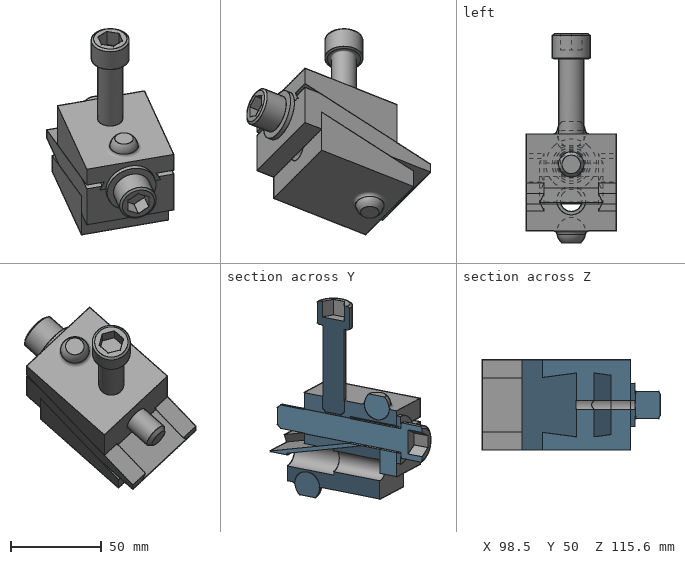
import cadquery as cq
import math

slope_angle = math.radians(15)
slope = math.tan(slope_angle)
width = 50.0

base_length = 82.0
base_height = 25.0
nose_height = 5.7

dovetail_opening = 30.0
dovetail_floor = 34.9
dovetail_depth = 4.9

jaw_length = 60.0
jaw_height = 30.0
upper_jaw_x = 22.0
upper_jaw_top = 38.6
lower_jaw_x = 11.1
lower_jaw_bottom = -15.0
jaw_thick_edge = upper_jaw_top - nose_height - upper_jaw_x * slope

bore_depth_below_face = 16.9
tapped_diameter = 12.0
clearance_diameter = 16.0
clearance_length = jaw_length / 2

ball_diameter = 16.0
ball_from_thin_end = 13.0
ball_center_rise = 0.6
ball_flat_rise = 6.7
lip_diameter = 20.0

shank_diameter = 14.0
neck_diameter = 15.0
neck_fillet = (neck_diameter - shank_diameter) / 2
head_diameter = 21.0
head_height = 14.0
head_face_diameter = 18.4
head_top_chamfer = 0.9
head_bottom_chamfer = 0.6
tip_diameter = 10.2
tip_chamfer = 2.2
socket_flats = 12.0
socket_depth = 9.0
upright_screw_length = 50.0
upright_screw_exposed = 41.3
upright_screw_from_thick_end = 19.0
draw_screw_length = 80.0

washer_diameter = 28.0
washer_thickness = 2.5
washer_bore = neck_diameter

base_bore_diameter = washer_bore

draw_screw_z = upper_jaw_top - bore_depth_below_face
upright_screw_x = upper_jaw_x + upright_screw_from_thick_end


def dovetail_bar(start_height):
    """Dovetail prism along the slope that passes through (0, 0, start_height)."""
    half_length = base_length / math.cos(slope_angle) + dovetail_depth
    along_slope = cq.Plane(
        origin=(0, 0, start_height),
        xDir=(0, 1, 0),
        normal=(math.cos(slope_angle), 0, math.sin(slope_angle)),
    )
    return (
        cq.Workplane(along_slope)
        .moveTo(-dovetail_opening / 2, 0)
        .lineTo(dovetail_opening / 2, 0)
        .lineTo(dovetail_floor / 2, -dovetail_depth)
        .lineTo(-dovetail_floor / 2, -dovetail_depth)
        .close()
        .extrude(half_length, both=True)
    )


def cylinder_along_x(diameter, x_start, length, z):
    """Cylinder that starts at x_start, with its axis at height z."""
    return cq.Workplane("YZ", origin=(x_start, 0, z)).circle(diameter / 2).extrude(length)


def jaw_blank():
    """Jaw with its dovetail tongue, before any holes; the tongue ends level with the block."""
    block = cq.Workplane("XY").box(jaw_length, width, jaw_height, centered=(False, True, False))
    block = block.translate((0, 0, -jaw_height))
    wedge = (
        cq.Workplane("XZ")
        .polyline([
            (0, 0),
            (jaw_length, 0),
            (jaw_length, jaw_length * slope - jaw_thick_edge),
            (0, -jaw_thick_edge),
        ])
        .close()
        .extrude(width / 2, both=True)
    )
    tongue = dovetail_bar(-jaw_thick_edge).intersect(block)
    return wedge.union(tongue)


def ball_lip():
    """Raised lip whose concave flank is tangent to the jaw face and to the ball."""
    ball_radius = ball_diameter / 2
    lip_radius = lip_diameter / 2
    flank_radius = (lip_radius**2 + ball_center_rise**2 - ball_radius**2) / (
        2 * (ball_radius + ball_center_rise)
    )
    contact_share = ball_radius / (ball_radius + flank_radius)
    contact_radius = lip_radius * contact_share
    contact_rise = ball_center_rise + (flank_radius - ball_center_rise) * contact_share
    contact_angle = math.atan2(contact_rise - flank_radius, contact_radius - lip_radius) % (2 * math.pi)
    middle_angle = (contact_angle + 1.5 * math.pi) / 2
    flank_middle = (
        lip_radius + flank_radius * math.cos(middle_angle),
        flank_radius + flank_radius * math.sin(middle_angle),
    )
    return (
        cq.Workplane("XZ")
        .moveTo(0, 0)
        .lineTo(lip_radius, 0)
        .threePointArc(flank_middle, (contact_radius, contact_rise))
        .lineTo(0, contact_rise)
        .close()
        .revolve(360, (0, 0, 0), (0, 1, 0))
        .translate((jaw_length - ball_from_thin_end, 0, 0))
    )


def swivel_ball():
    """Ball with a flat face, seated in the jaw-local frame."""
    ball = cq.Workplane("XY").sphere(ball_diameter / 2).translate((0, 0, ball_center_rise))
    beyond_flat = (
        cq.Workplane("XY", origin=(0, 0, ball_flat_rise))
        .circle(ball_diameter / 2)
        .extrude(ball_diameter)
    )
    return ball.cut(beyond_flat).translate((jaw_length - ball_from_thin_end, 0, 0))


def jaw():
    """Jaw with a lipped ball seat and a stepped bore from end to end."""
    tapped_bore = cylinder_along_x(tapped_diameter, 0, jaw_length, -bore_depth_below_face)
    clearance_bore = cylinder_along_x(
        clearance_diameter, jaw_length - clearance_length, clearance_length, -bore_depth_below_face
    )
    return (
        jaw_blank()
        .union(ball_lip())
        .cut(swivel_ball())
        .cut(tapped_bore)
        .cut(clearance_bore)
    )


def place_upper(body):
    return body.translate((upper_jaw_x, 0, upper_jaw_top))


def place_lower(body):
    turned_over = body.rotate((0, 0, 0), (0, 1, 0), 180)
    return turned_over.translate((lower_jaw_x + jaw_length, 0, lower_jaw_bottom))


def cap_screw_blank(length):
    """Screw without its socket: axis on Z, bearing face of the head on z = 0."""
    shank_radius = shank_diameter / 2
    neck_radius = neck_diameter / 2
    head_radius = head_diameter / 2
    face_radius = head_face_diameter / 2
    fillet_inset = neck_fillet * (1 - math.sqrt(0.5))
    return (
        cq.Workplane("XZ")
        .moveTo(0, -length)
        .lineTo(tip_diameter / 2, -length)
        .lineTo(shank_radius, tip_chamfer - length)
        .lineTo(shank_radius, -neck_fillet)
        .threePointArc((shank_radius + fillet_inset, -fillet_inset), (neck_radius, 0))
        .lineTo(face_radius, 0)
        .lineTo(head_radius, head_bottom_chamfer)
        .lineTo(head_radius, head_height - head_top_chamfer)
        .lineTo(face_radius, head_height)
        .lineTo(0, head_height)
        .close()
        .revolve(360, (0, 0, 0), (0, 1, 0))
    )


def cap_screw(length):
    """Screw with a hexagon socket in its head."""
    socket_corners = socket_flats / math.cos(math.pi / 6)
    socket = (
        cq.Workplane("XY", origin=(0, 0, head_height))
        .polygon(6, socket_corners)
        .extrude(-socket_depth)
    )
    return cap_screw_blank(length).cut(socket)


upright_screw = cap_screw(upright_screw_length).translate(
    (upright_screw_x, 0, upper_jaw_top + upright_screw_exposed)
)
draw_screw = (
    cap_screw(draw_screw_length)
    .rotate((0, 0, 0), (0, 1, 0), 90)
    .translate((base_length + washer_thickness, 0, draw_screw_z))
)
washer = (
    cq.Workplane("YZ", origin=(base_length, 0, draw_screw_z))
    .circle(washer_diameter / 2)
    .circle(washer_bore / 2)
    .extrude(washer_thickness)
)

draw_screw_clearance = cylinder_along_x(base_bore_diameter, 0, base_length, draw_screw_z)

upper_jaw = place_upper(jaw()).cut(upright_screw).cut(draw_screw)
lower_jaw = place_lower(jaw()).cut(draw_screw_clearance)
balls = [place(swivel_ball()) for place in (place_upper, place_lower)]


def wedge_base():
    """Wedge with a dovetail slot on its slope and a recess below that fits the lower jaw."""
    wedge = (
        cq.Workplane("XZ")
        .polyline([
            (0, 0),
            (base_length, 0),
            (base_length, base_height),
            ((base_height - nose_height) / slope, base_height),
            (0, nose_height),
        ])
        .close()
        .extrude(width / 2, both=True)
    )
    return (
        wedge.cut(dovetail_bar(nose_height))
        .cut(place_lower(jaw_blank()))
        .cut(draw_screw_clearance)
    )


base = wedge_base()

result = cq.Compound.makeCompound([
    base.val(),
    upper_jaw.val(),
    lower_jaw.val(),
    *[ball.val() for ball in balls],
    upright_screw.val(),
    draw_screw.val(),
    washer.val(),
])